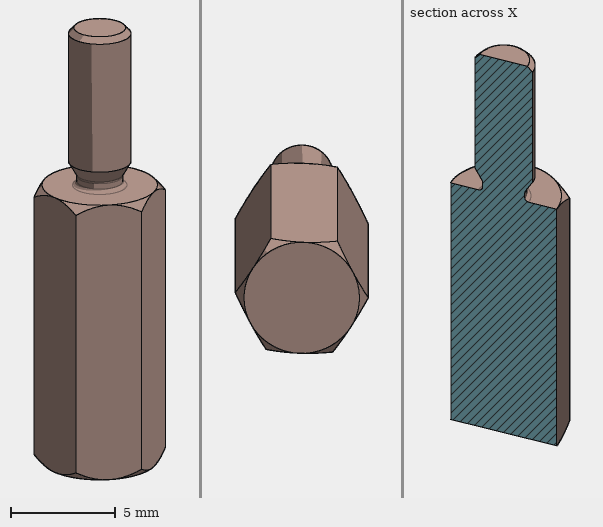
import cadquery as cq
import math

total_height = 22.0
body_height = 14.0
across_flats = 5.5
across_corners = across_flats / math.cos(math.radians(30))

trim_radius = across_flats / 2
corner_radius = across_corners / 2
trim_height = 0.45

stud_radius = 3.0 / 2
tip_radius = 2.46 / 2
tip_chamfer_height = 0.29
neck_radius = 2.2 / 2
neck_fillet = 0.2
neck_height = 0.53
runout_height = 0.68


def make_body():
    """Hexagonal body with its corners trimmed by a cone at each end."""
    hexagon = cq.Workplane("XY").polygon(6, across_corners).extrude(body_height)
    envelope = (
        cq.Workplane("XZ")
        .moveTo(0, 0)
        .lineTo(trim_radius, 0)
        .lineTo(corner_radius, trim_height)
        .lineTo(corner_radius, body_height - trim_height)
        .lineTo(trim_radius, body_height)
        .lineTo(0, body_height)
        .close()
        .revolve(360, (0, 0, 0), (0, 1, 0))
    )
    return hexagon.intersect(envelope)


def make_stud():
    """Round stud with an undercut neck, a conical runout and a chamfered tip."""
    neck_top = body_height + neck_height
    runout_slope = math.atan2(stud_radius - neck_radius, runout_height)
    blend_length = neck_fillet * math.tan(runout_slope / 2)
    blend_end = (
        neck_radius + blend_length * math.sin(runout_slope),
        neck_top + blend_length * math.cos(runout_slope),
    )
    return (
        cq.Workplane("XZ")
        .moveTo(0, body_height)
        .lineTo(neck_radius + neck_fillet, body_height)
        .radiusArc((neck_radius, body_height + neck_fillet), neck_fillet)
        .lineTo(neck_radius, neck_top - blend_length)
        .radiusArc(blend_end, neck_fillet)
        .lineTo(stud_radius, neck_top + runout_height)
        .lineTo(stud_radius, total_height - tip_chamfer_height)
        .lineTo(tip_radius, total_height)
        .lineTo(0, total_height)
        .close()
        .revolve(360, (0, 0, 0), (0, 1, 0))
    )


result = make_body().union(make_stud())